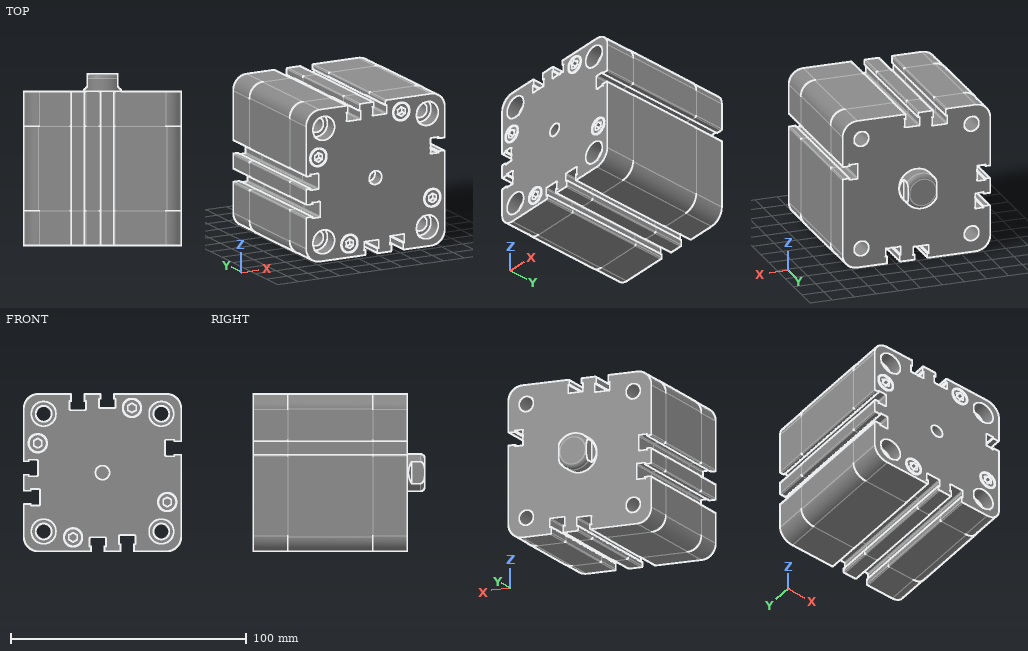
import cadquery as cq
import math


WIDTH = 67.0
HALF_WIDTH = WIDTH / 2
BARREL_LENGTH = 36.0
CAP_LENGTH = 14.75
HOUSING_LENGTH = BARREL_LENGTH + 2 * CAP_LENGTH
CAP_CORNER_RADIUS = 6.6
BARREL_CORNER_RADIUS = 6.3

SLOT_MOUTH = 5.6
SLOT_INNER_WIDTH = 6.9
SLOT_INNER_HEIGHT = 3.8
SLOT_FLOOR_RADIUS = 0.4
CAP_MOUTH_RADIUS = 0.5
BARREL_MOUTH_RADIUS = 0.3
DEEP_SLOT_OFFSET = -10.5
DEEP_SLOT_LIP = 3.1
SHALLOW_SLOT_OFFSET = 2.0
SHALLOW_SLOT_LIP = 2.2
SIDE_COUNT = 4
SIDE_ANGLE = 360 / SIDE_COUNT
SIDES_WITH_SHALLOW_SLOT = 3

MOUNT_PITCH = 50.0
MOUNT_HOLE_DIAMETER = 6.65
MOUNT_BORE_DIAMETER = 10.5
MOUNT_BORE_DEPTH = 6.5

SCREW_NEAR = 12.5
SCREW_FAR = 27.5
SCREW_CENTRES = [
    (SCREW_NEAR, SCREW_FAR),
    (-SCREW_FAR, SCREW_NEAR),
    (-SCREW_NEAR, -SCREW_FAR),
    (SCREW_FAR, -SCREW_NEAR),
]
SCREW_RECESS_DIAMETER = 8.0
SCREW_HEAD_DIAMETER = 7.5
SCREW_GAP_DEPTH = 0.5
SOCKET_ACROSS_FLATS = 3.5
SOCKET_DEPTH = 3.0

CENTRE_HOLE_DIAMETER = 6.0
CENTRE_HOLE_DEPTH = 6.0

ROD_DIAMETER = 16.0
ROD_PROJECTION = 7.5
ROD_TIP_RADIUS = 2.0
ROD_ACROSS_FLATS = 13.0
ROD_FLAT_LENGTH = 5.5


def profile_plane(y):
    """Workplane at the given Y, with local axes X and Z."""
    return cq.Workplane("XZ", origin=(0, y, 0))


def turned_to_side(shape, side):
    """Turn a shape made for the +Z side about the bore axis, from +Z towards -X."""
    return shape.rotate((0, 0, 0), (0, -1, 0), side * SIDE_ANGLE)


def make_slot(offset, lip, mouth_radius, y, length):
    """T-slot cutter in the top side, with rounded mouth edges and floor corners."""
    mouth = SLOT_MOUTH / 2
    inner = SLOT_INNER_WIDTH / 2
    top = HALF_WIDTH
    lip_z = top - lip
    floor_z = lip_z - SLOT_INNER_HEIGHT
    mouth_sagitta = mouth_radius * (1 - math.sqrt(0.5))
    floor_sagitta = SLOT_FLOOR_RADIUS * (1 - math.sqrt(0.5))
    half = (
        profile_plane(y)
        .moveTo(0, top)
        .lineTo(mouth + mouth_radius, top)
        .threePointArc((mouth + mouth_sagitta, top - mouth_sagitta), (mouth, top - mouth_radius))
        .lineTo(mouth, lip_z)
        .lineTo(inner, lip_z)
        .lineTo(inner, floor_z + SLOT_FLOOR_RADIUS)
        .threePointArc(
            (inner - floor_sagitta, floor_z + floor_sagitta),
            (inner - SLOT_FLOOR_RADIUS, floor_z),
        )
        .lineTo(0, floor_z)
        .close()
        .extrude(-length)
    )
    return half.union(half.mirror("YZ")).translate((offset, 0, 0))


def make_section(y, length, corner_radius, mouth_radius):
    """One length of the housing: a rounded square bar with its T-slots."""
    section = (
        profile_plane(y).rect(WIDTH, WIDTH).extrude(-length).edges("|Y").fillet(corner_radius)
    )
    deep = make_slot(DEEP_SLOT_OFFSET, DEEP_SLOT_LIP, mouth_radius, y, length)
    shallow = make_slot(SHALLOW_SLOT_OFFSET, SHALLOW_SLOT_LIP, mouth_radius, y, length)
    for side in range(SIDE_COUNT):
        section = section.cut(turned_to_side(deep, side))
        if side < SIDES_WITH_SHALLOW_SLOT:
            section = section.cut(turned_to_side(shallow, side))
    return section


def make_housing():
    """Front cap, barrel and rear cap; the joint lines between them are kept."""
    barrel_start = CAP_LENGTH
    rear_cap_start = barrel_start + BARREL_LENGTH
    front_cap = make_section(0, CAP_LENGTH, CAP_CORNER_RADIUS, CAP_MOUTH_RADIUS)
    barrel = make_section(
        barrel_start, BARREL_LENGTH, BARREL_CORNER_RADIUS, BARREL_MOUTH_RADIUS
    )
    rear_cap = make_section(rear_cap_start, CAP_LENGTH, CAP_CORNER_RADIUS, CAP_MOUTH_RADIUS)
    return front_cap.union(barrel, clean=False).union(rear_cap, clean=False)


def make_mounting_holes():
    """Through holes in the four corners, counterbored from the front."""
    corners = profile_plane(0).rect(MOUNT_PITCH, MOUNT_PITCH, forConstruction=True).vertices()
    holes = corners.circle(MOUNT_HOLE_DIAMETER / 2).extrude(-HOUSING_LENGTH)
    bores = corners.circle(MOUNT_BORE_DIAMETER / 2).extrude(-MOUNT_BORE_DEPTH)
    return holes.union(bores)


def make_screw_cut(x, z):
    """Ring gap and hexagon socket of one cap screw; the sockets all point up."""
    centre = profile_plane(0).center(x, z)
    gap = (
        centre.circle(SCREW_RECESS_DIAMETER / 2)
        .circle(SCREW_HEAD_DIAMETER / 2)
        .extrude(-SCREW_GAP_DEPTH)
    )
    across_corners = SOCKET_ACROSS_FLATS / math.cos(math.pi / 6)
    socket = (
        centre.transformed(rotate=(0, 0, 90)).polygon(6, across_corners).extrude(-SOCKET_DEPTH)
    )
    return gap.union(socket)


def make_rod():
    """Rod end with a rounded tip and two wrench flats that run out at 45 degrees."""
    rod = (
        profile_plane(HOUSING_LENGTH)
        .circle(ROD_DIAMETER / 2)
        .extrude(-ROD_PROJECTION)
        .faces(">Y")
        .edges()
        .fillet(ROD_TIP_RADIUS)
    )
    tip_y = HOUSING_LENGTH + ROD_PROJECTION
    flat_end_y = tip_y - ROD_FLAT_LENGTH
    flat_x = ROD_ACROSS_FLATS / 2
    run_out = ROD_DIAMETER - flat_x
    flat_cut = (
        cq.Workplane("XY")
        .moveTo(flat_x, tip_y)
        .lineTo(flat_x, flat_end_y)
        .lineTo(flat_x + run_out, flat_end_y - run_out)
        .lineTo(flat_x + run_out, tip_y)
        .close()
        .extrude(ROD_DIAMETER / 2, both=True)
    )
    return rod.cut(flat_cut).cut(flat_cut.mirror("YZ"))


def make_cylinder():
    body = make_housing().cut(make_mounting_holes(), clean=False)
    for x, z in SCREW_CENTRES:
        body = body.cut(make_screw_cut(x, z), clean=False)
    centre_hole = profile_plane(0).circle(CENTRE_HOLE_DIAMETER / 2).extrude(-CENTRE_HOLE_DEPTH)
    return body.cut(centre_hole, clean=False).union(make_rod(), clean=False)


result = make_cylinder()